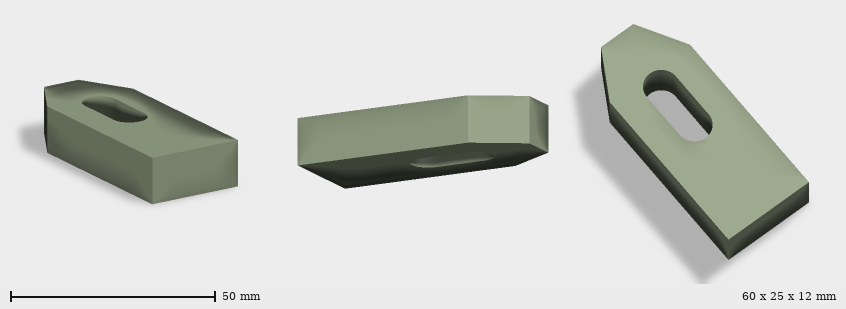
import cadquery as cq
import math

length = 60.0
width = 25.0
thickness = 12.0

nose_width = 10.0
taper_angle = 30.0
taper_length = (width - nose_width) / 2 / math.tan(math.radians(taper_angle))

slot_length = 22.0
slot_width = 9.0
slot_center_x = taper_length + slot_length / 2


def clamp_body():
    """Flat bar with a symmetric tapered nose, its nose face at X = 0."""
    outline = [
        (0, -nose_width / 2),
        (taper_length, -width / 2),
        (length, -width / 2),
        (length, width / 2),
        (taper_length, width / 2),
        (0, nose_width / 2),
    ]
    return cq.Workplane("XY").polyline(outline).close().extrude(thickness)


def stud_slot():
    """Round-ended slot through the full thickness."""
    return (
        cq.Workplane("XY")
        .center(slot_center_x, 0)
        .slot2D(slot_length, slot_width)
        .extrude(thickness)
    )


result = clamp_body().cut(stud_slot())